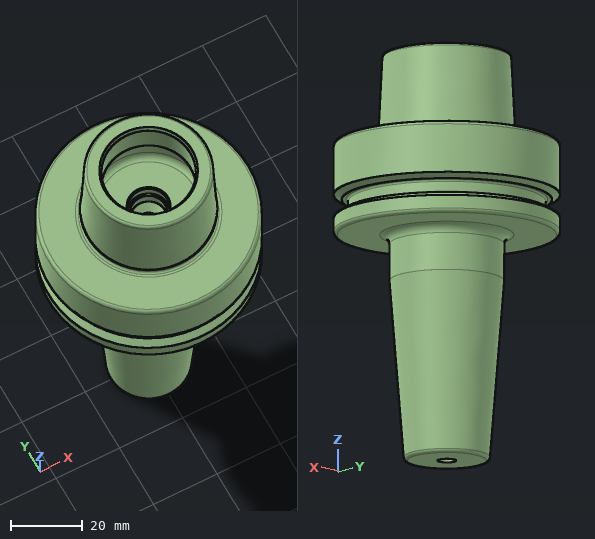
import cadquery as cq
import math

total_length = 115.0

shank_length = 25.0
shank_tip_radius = 17.9
shank_root_radius = 19.1
shank_tip_fillet = 0.8
taper_length = 23.0

neck_radius = 18.9
neck_fillet = 0.7
neck_bevel_height = 0.6
face_relief_radius = 20.4
face_relief_depth = 0.1

flange_radius = 31.5
flange_thickness = 26.0
flange_fillet = 1.0
groove_centre_below_face = 17.9
groove_mouth_width = 6.5
groove_floor_width = 3.9
groove_floor_radius = 27.5
groove_floor_fillet = 0.6
groove_flank_angle = 30.0

collar_radius = 16.0
collar_fillet = 2.6
collar_length = 13.1
nose_tip_radius = 12.0
nose_tip_fillet = 1.0

socket_radius = 13.1
mouth_radius = 13.7
mouth_bevel_height = 1.2
socket_land_depth = 10.0
clamp_groove_radius = 16.0
clamp_floor_fillet = 2.0
socket_depth = 21.6

step_mouth_radius = 6.1
step_radius = 5.9
step_bevel_height = 0.6
step_depth = 3.5
pilot_radius = 5.2
pilot_depth = 6.9
bore_radius = 2.5
pilot_cone_angle = 59.0

flange_top = total_length - shank_length
flange_bottom = flange_top - flange_thickness
taper_root = total_length - taper_length
collar_bottom = flange_bottom - collar_length


def revolve_profile(profile):
    """Close an outline drawn as (radius, height) and revolve it about Z."""
    return profile.close().revolve(360, (0, 0, 0), (0, 1, 0))


def make_body():
    relief_floor = flange_top - face_relief_depth
    profile = (
        cq.Workplane("XZ")
        .moveTo(0, 0)
        .lineTo(nose_tip_radius, 0)
        .lineTo(collar_radius, collar_bottom)
        .lineTo(collar_radius, flange_bottom - collar_fillet)
        .radiusArc((collar_radius + collar_fillet, flange_bottom), collar_fillet)
        .lineTo(flange_radius, flange_bottom)
        .lineTo(flange_radius, flange_top)
        .lineTo(face_relief_radius, flange_top)
        .lineTo(neck_radius + neck_fillet, relief_floor)
        .radiusArc((neck_radius, relief_floor + neck_fillet), neck_fillet)
        .lineTo(neck_radius, taper_root - neck_bevel_height)
        .lineTo(shank_root_radius, taper_root)
        .lineTo(shank_tip_radius, total_length)
        .lineTo(0, total_length)
    )
    body = revolve_profile(profile)
    body = body.faces(">Z").edges().fillet(shank_tip_fillet)
    body = body.faces("<Z").edges().fillet(nose_tip_fillet)
    largest_rings = cq.selectors.RadiusNthSelector(-1)
    return body.edges("%CIRCLE").edges(largest_rings).fillet(flange_fillet)


def make_groove():
    centre = flange_top - groove_centre_below_face
    mouth = groove_mouth_width / 2
    floor = groove_floor_width / 2
    flank_depth = (mouth - floor) / math.tan(math.radians(groove_flank_angle))
    flank_radius = flange_radius - flank_depth
    fillet = groove_floor_fillet
    fillet_end = groove_floor_radius + fillet
    profile = (
        cq.Workplane("XZ")
        .moveTo(flange_radius, centre + mouth)
        .lineTo(flank_radius, centre + floor)
        .lineTo(fillet_end, centre + floor)
        .radiusArc((groove_floor_radius, centre + floor - fillet), -fillet)
        .lineTo(groove_floor_radius, centre - floor + fillet)
        .radiusArc((fillet_end, centre - floor), -fillet)
        .lineTo(flank_radius, centre - floor)
        .lineTo(flange_radius, centre - mouth)
    )
    return revolve_profile(profile)


def make_bore():
    land_bottom = total_length - socket_land_depth
    socket_floor = total_length - socket_depth
    step_floor = socket_floor - step_depth
    pilot_end = socket_floor - pilot_depth
    cone_height = (pilot_radius - bore_radius) / math.tan(math.radians(pilot_cone_angle))
    profile = (
        cq.Workplane("XZ")
        .moveTo(0, total_length)
        .lineTo(mouth_radius, total_length)
        .lineTo(socket_radius, total_length - mouth_bevel_height)
        .lineTo(socket_radius, land_bottom)
        .lineTo(clamp_groove_radius, land_bottom)
        .lineTo(clamp_groove_radius, socket_floor + clamp_floor_fillet)
        .radiusArc((clamp_groove_radius - clamp_floor_fillet, socket_floor), clamp_floor_fillet)
        .lineTo(step_mouth_radius, socket_floor)
        .lineTo(step_radius, socket_floor - step_bevel_height)
        .lineTo(step_radius, step_floor)
        .lineTo(pilot_radius, step_floor)
        .lineTo(pilot_radius, pilot_end)
        .lineTo(bore_radius, pilot_end - cone_height)
        .lineTo(bore_radius, 0)
        .lineTo(0, 0)
    )
    return revolve_profile(profile)


result = make_body().cut(make_groove()).cut(make_bore())